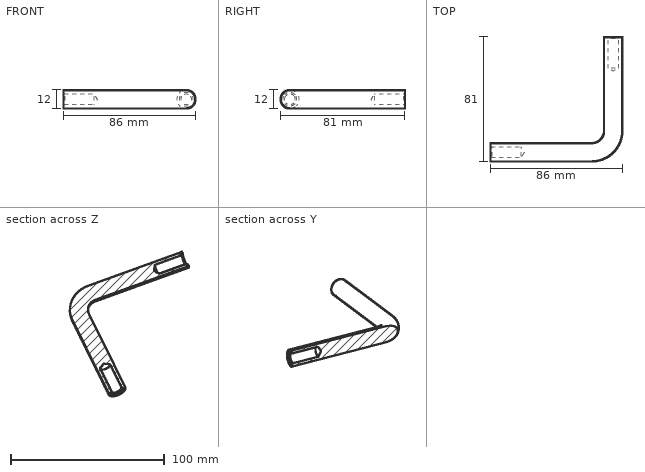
import cadquery as cq
import math

length_x = 86.0
length_y = 81.0
rod_diameter = 12.0
bend_radius = 14.0

hole_diameter = 6.9
hole_depth = 20.0
drill_point_angle = 118.0
countersink_diameter = 8.9
countersink_angle = 90.0

rod_radius = rod_diameter / 2
hole_radius = hole_diameter / 2
countersink_radius = countersink_diameter / 2
straight_x = length_x - rod_radius - bend_radius
straight_y = length_y - rod_radius - bend_radius


def cone_height(radius_change, included_angle):
    """Axial length over which a cone changes its radius by the given amount."""
    return radius_change / math.tan(math.radians(included_angle / 2))


def make_rod():
    """Round rod running along +X, then bent through 90 degrees to +Y."""
    bend_shift = bend_radius * math.sin(math.radians(45))
    bend_start = (straight_x, 0)
    bend_middle = (straight_x + bend_shift, bend_radius - bend_shift)
    bend_end = (straight_x + bend_radius, bend_radius)
    centreline = (
        cq.Workplane("XY")
        .lineTo(*bend_start)
        .threePointArc(bend_middle, bend_end)
        .line(0, straight_y)
    )
    return cq.Workplane("YZ").circle(rod_radius).sweep(centreline)


def make_drill():
    """Countersunk drill shape entering along +X from the origin."""
    countersink_depth = cone_height(countersink_radius - hole_radius, countersink_angle)
    tip_depth = hole_depth + cone_height(hole_radius, drill_point_angle)
    return (
        cq.Workplane("XY")
        .lineTo(0, countersink_radius)
        .lineTo(countersink_depth, hole_radius)
        .lineTo(hole_depth, hole_radius)
        .lineTo(tip_depth, 0)
        .close()
        .revolve(360, (0, 0, 0), (1, 0, 0))
    )


drill = make_drill()
drill_y_end = drill.rotate((0, 0, 0), (0, 0, 1), -90).translate(
    (length_x - rod_radius, length_y - rod_radius, 0)
)

result = make_rod().cut(drill).cut(drill_y_end)